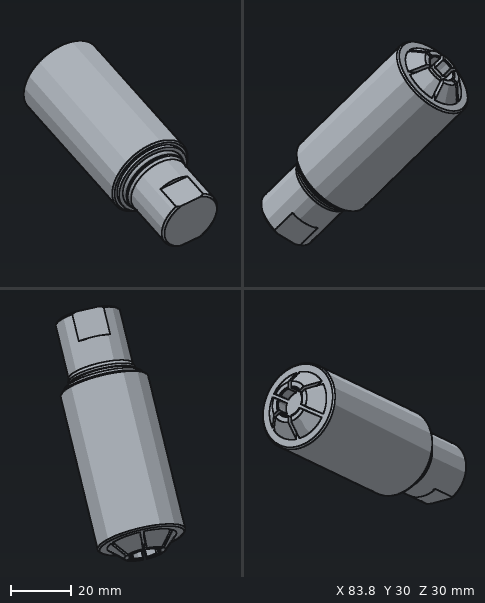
import cadquery as cq
import math

total_length = 83.8
body_radius = 30.0 / 2
body_start = 4.6
body_end = 59.7
body_chamfer = 0.6

collar_radius = 26.8 / 2
collar_end = 60.8
ring_center_x = 61.2
ring_center_radius = 10.9
ring_section_radius = 1.1
ring_gap_floor_radius = 11.1
seat_start = 62.3
seat_radius = 23.0 / 2
seat_end = 63.2
taper_end = 64.4

shank_radius = 22.0 / 2
shank_chamfer = 0.7
flat_start = 73.65
flat_height = 9.6

nose_base_radius = 11.8
nose_tip_radius = 7.1
nose_bore_radius = 4.9
bore_chamfer_width = 0.5
bore_chamfer_depth = 0.25
slot_width = 1.25
slot_count = 6


def make_turned_body():
    """Revolve the body, neck, shank and nose cone about the X axis."""
    ring_start_rise = math.sqrt(ring_section_radius**2 - (collar_end - ring_center_x) ** 2)
    gap_rise = ring_gap_floor_radius - ring_center_radius
    ring_end = ring_center_x + math.sqrt(ring_section_radius**2 - gap_rise**2)
    ring_top = (ring_center_x, ring_center_radius + ring_section_radius)

    profile = (
        cq.Workplane("XY")
        .moveTo(0, 0)
        .lineTo(0, nose_tip_radius)
        .lineTo(body_start, nose_base_radius)
        .lineTo(body_start, body_radius - body_chamfer)
        .lineTo(body_start + body_chamfer, body_radius)
        .lineTo(body_end - body_chamfer, body_radius)
        .lineTo(body_end, body_radius - body_chamfer)
        .lineTo(body_end, collar_radius)
        .lineTo(collar_end, collar_radius)
        .lineTo(collar_end, ring_center_radius + ring_start_rise)
        .threePointArc(ring_top, (ring_end, ring_gap_floor_radius))
        .lineTo(seat_start, ring_gap_floor_radius)
        .lineTo(seat_start, seat_radius)
        .lineTo(seat_end, seat_radius)
        .lineTo(taper_end, shank_radius)
        .lineTo(total_length - shank_chamfer, shank_radius)
        .lineTo(total_length, shank_radius - shank_chamfer)
        .lineTo(total_length, 0)
        .close()
    )
    return profile.revolve(360, (0, 0, 0), (1, 0, 0))


def make_nose_bore():
    """Blind bore through the nose, with a chamfered mouth."""
    profile = (
        cq.Workplane("XY")
        .moveTo(0, 0)
        .lineTo(0, nose_bore_radius + bore_chamfer_width)
        .lineTo(bore_chamfer_depth, nose_bore_radius)
        .lineTo(body_start, nose_bore_radius)
        .lineTo(body_start, 0)
        .close()
    )
    return profile.revolve(360, (0, 0, 0), (1, 0, 0))


def make_nose_slot(angle):
    """Radial slot from the axis outward, ending at the front face of the body."""
    return (
        cq.Workplane("XY")
        .box(body_start, slot_width, body_radius, centered=(False, True, False))
        .rotate((0, 0, 0), (1, 0, 0), angle)
    )


def make_wrench_flat(side):
    """Material removed beyond one flat; side is +1 for the top, -1 for the bottom."""
    flat_length = total_length - flat_start
    cut_depth = shank_radius - flat_height
    center_z = side * (flat_height + cut_depth / 2)
    return (
        cq.Workplane("XY")
        .box(flat_length, 2 * shank_radius, cut_depth, centered=(False, True, True))
        .translate((flat_start, 0, center_z))
    )


result = make_turned_body().cut(make_nose_bore())
for slot_index in range(slot_count):
    result = result.cut(make_nose_slot(slot_index * 360 / slot_count))
for flat_side in (1, -1):
    result = result.cut(make_wrench_flat(flat_side))